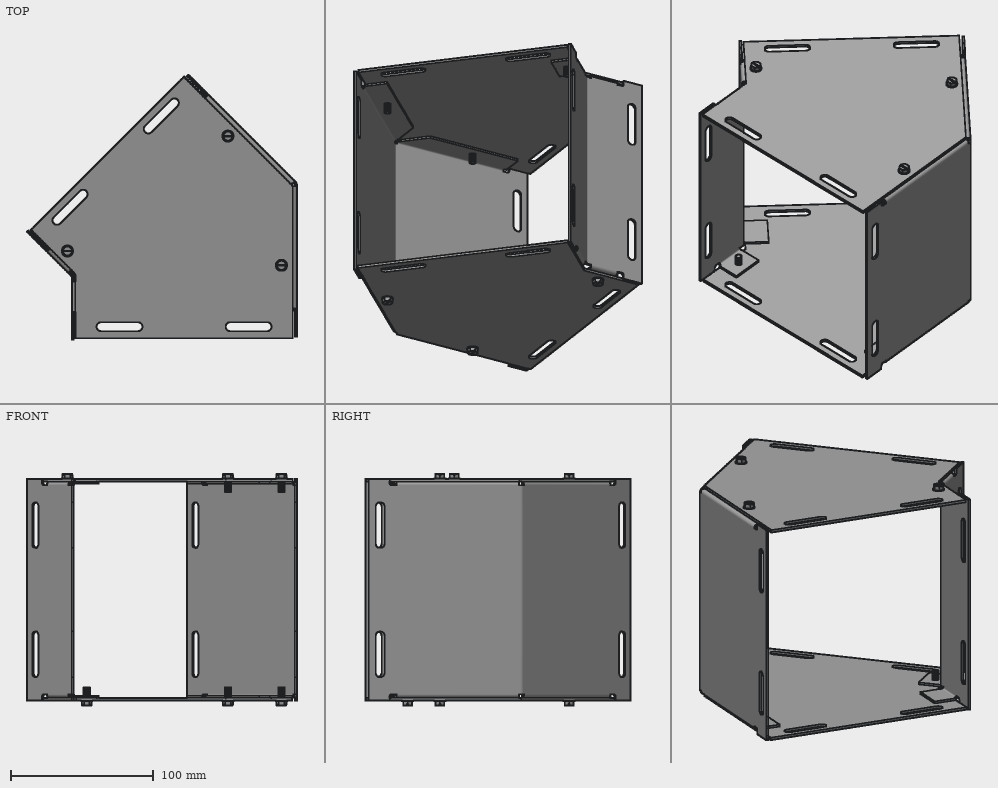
import cadquery as cq
import math


overall_height = 162.41
box_height = 155.5
box_width = 157.87
elbow_angle = 45.0
inner_leg_length = 44.38

wall_sheet = 1.52
bend_radius = 1.0
outer_wall_setback = 2.2
flange_width = 19.05
flange_bend_from_end = 19.6
flange_end_overhang = 1.6
inner_flange_from_fold = 3.5
outer_flange_from_fold = 2.0
notch_from_end = 14.7
notch_corner_radius = 1.8

plate_sheet = 1.9
plate_width = 152.4
plate_side_gap = 2.5
plate_end_setback = 1.0
angled_leg_trim = 0.5

slot_length = 32.0
slot_width = 6.2
slot_spacing = 90.5
slot_from_end = 8.2

thread_major = 4.59
thread_minor = 4.34
thread_pitch = 0.79
shank_length = 9.5
tip_chamfer = 0.25
washer_diameter = 7.94
washer_thickness = 0.3
hex_across_flats = 6.35
hex_chamfer_height = 0.3
hex_chamfer_width = 0.5
driver_slot_width = 0.6
driver_slot_depth = 1.0
inner_screw_from_face = 10.5
inner_screw_from_end = 29.6
outer_screw_from_face = 10.9
outer_screw_from_end = 50.0

bend_angle = math.radians(elbow_angle)
bisector_normal = cq.Vector(-math.sin(bend_angle / 2), math.cos(bend_angle / 2), 0)
half_height = box_height / 2
plate_underside = half_height - plate_sheet
outside_bend_radius = bend_radius + wall_sheet
flange_bend_bottom = plate_underside - outside_bend_radius
inner_wall_end = -inner_leg_length
outer_wall_end = inner_wall_end + outer_wall_setback
plate_end = inner_wall_end + plate_end_setback
plate_left = plate_side_gap
plate_right = plate_left + plate_width
plate_middle = (plate_left + plate_right) / 2
head_height = (overall_height - box_height) / 2
hex_across_corners = hex_across_flats / math.cos(math.pi / 6)


def mirror_point(point):
    """Plan point of the straight leg carried over to the angled leg."""
    x, y = point
    return (
        x * math.cos(bend_angle) + y * math.sin(bend_angle),
        x * math.sin(bend_angle) - y * math.cos(bend_angle),
    )


def fold_point(straight_x, angled_x):
    """Where a straight-leg edge at one X meets the mirror image of an edge at another X."""
    return (straight_x, (angled_x - straight_x * math.cos(bend_angle)) / math.sin(bend_angle))


def mirror_leg(shape):
    """Straight-leg shape carried over to the angled leg."""
    return shape.mirror(bisector_normal)


def flip(shape):
    """Top shape turned over about the bisector line, which swaps top with bottom and leg with leg."""
    return mirror_leg(shape).mirror("XY")


def both_legs(shape):
    return [shape, mirror_leg(shape)]


def four_corners(shape):
    """Top shape of the straight leg, repeated on both legs, top and bottom."""
    return both_legs(shape) + both_legs(shape.mirror("XY"))


inner_screw = (inner_screw_from_face, inner_wall_end + inner_screw_from_end)
outer_screw = (box_width - outer_screw_from_face, outer_wall_end + outer_screw_from_end)
top_screw_points = [mirror_point(inner_screw), outer_screw, mirror_point(outer_screw)]

top_screw_holes = (
    cq.Workplane("XY", origin=(0, 0, half_height))
    .pushPoints(top_screw_points)
    .circle(thread_major / 2)
    .extrude(-shank_length)
)
bottom_screw_holes = flip(top_screw_holes)


def folded_sheet(left_x, end_y):
    """Full-height sheet folded at the bisector, with a rounded fold."""
    right_x = left_x + wall_sheet
    left_fold = fold_point(left_x, left_x)
    right_fold = fold_point(right_x, right_x)
    left_end = (left_x, end_y)
    right_end = (right_x, end_y)
    outline = [
        left_end,
        left_fold,
        mirror_point(left_end),
        mirror_point(right_end),
        right_fold,
        right_end,
    ]
    sheet = (
        cq.Workplane("XY", origin=(0, 0, -half_height))
        .polyline(outline)
        .close()
        .extrude(box_height)
    )
    for fold, radius in ((left_fold, bend_radius), (right_fold, outside_bend_radius)):
        fold_edge = cq.selectors.NearestToPointSelector((fold[0], fold[1], 0))
        sheet = sheet.edges("|Z").edges(fold_edge).fillet(radius)
    return sheet


def flange_notch(face_x, end_y, fold_y):
    """Cutter that lowers the wall edge where the cover plate and the flange bend lie."""
    start_y = end_y + notch_from_end
    stop_y = fold_y + wall_sheet
    depth = half_height - flange_bend_bottom
    return (
        cq.Workplane("XY")
        .box(4 * wall_sheet, stop_y - start_y, 2 * depth, centered=(True, False, True))
        .edges("|X and <Y and <Z")
        .fillet(notch_corner_radius)
        .translate((face_x, start_y, half_height))
    )


def flange(face_x, inward, start_y, stop_y, mitred):
    """Flange bent inward under the cover plate; a mitred one is cut at 45 degrees at the fold."""
    center_x = face_x + inward * outside_bend_radius
    edge_x = face_x + inward * flange_width

    def arc_middle(radius):
        offset = radius * math.sqrt(0.5)
        return (center_x - inward * offset, flange_bend_bottom + offset)

    bend = (
        cq.Workplane("XZ", origin=(0, start_y, 0))
        .moveTo(face_x, flange_bend_bottom)
        .threePointArc(arc_middle(outside_bend_radius), (center_x, plate_underside))
        .lineTo(center_x, plate_underside - wall_sheet)
        .threePointArc(arc_middle(bend_radius), (face_x + inward * wall_sheet, flange_bend_bottom))
        .close()
        .extrude(start_y - stop_y)
    )
    mitre = flange_width - outside_bend_radius if mitred else 0
    flat_outline = [
        (center_x, start_y - flange_end_overhang),
        (edge_x, start_y - flange_end_overhang),
        (edge_x, stop_y - mitre),
        (center_x, stop_y),
    ]
    flat = (
        cq.Workplane("XY", origin=(0, 0, plate_underside - wall_sheet))
        .polyline(flat_outline)
        .close()
        .extrude(wall_sheet)
    )
    return bend.union(flat)


def wall_slots(left_x, end_y):
    return (
        cq.Workplane("YZ", origin=(left_x, end_y + slot_from_end, 0))
        .pushPoints([(0, -slot_spacing / 2), (0, slot_spacing / 2)])
        .slot2D(slot_length, slot_width, 90)
        .extrude(wall_sheet)
    )


def side_wall(face_x, inward, end_y, flange_from_fold, mitred):
    """Wall whose outside face is at face_x; inward is the X direction into the box."""
    left_x = min(face_x, face_x + inward * wall_sheet)
    fold_y = fold_point(face_x, face_x)[1]
    wall = folded_sheet(left_x, end_y)
    for notch in four_corners(flange_notch(face_x, end_y, fold_y)):
        wall = wall.cut(notch)
    top_flange = flange(
        face_x, inward, end_y + flange_bend_from_end, fold_y - flange_from_fold, mitred
    )
    for corner_flange in four_corners(top_flange):
        wall = wall.union(corner_flange)
    for slots in both_legs(wall_slots(left_x, end_y)):
        wall = wall.cut(slots)
    return wall.cut(top_screw_holes).cut(bottom_screw_holes)


inner_wall = side_wall(0, 1, inner_wall_end, inner_flange_from_fold, mitred=False)
outer_wall = side_wall(box_width, -1, outer_wall_end, outer_flange_from_fold, mitred=True)


def cover_plate():
    """Top plate, slightly narrower on the angled leg than on the straight leg."""
    angled_left = plate_left + angled_leg_trim
    angled_right = plate_right - angled_leg_trim
    outline = [
        (plate_left, plate_end),
        fold_point(plate_left, angled_left),
        mirror_point((angled_left, plate_end)),
        mirror_point((angled_right, plate_end)),
        fold_point(plate_right, angled_right),
        (plate_right, plate_end),
    ]
    plate = (
        cq.Workplane("XY", origin=(0, 0, plate_underside))
        .polyline(outline)
        .close()
        .extrude(plate_sheet)
    )
    end_slots = (
        cq.Workplane("XY", origin=(plate_middle, plate_end + slot_from_end, plate_underside))
        .pushPoints([(-slot_spacing / 2, 0), (slot_spacing / 2, 0)])
        .slot2D(slot_length, slot_width)
        .extrude(plate_sheet)
    )
    for slots in both_legs(end_slots):
        plate = plate.cut(slots)
    return plate.cut(top_screw_holes)


top_plate = cover_plate()
bottom_plate = flip(top_plate)


def screw_shank():
    """Shank below Z = 0, its thread modelled as plain rings one pitch apart."""
    shank = (
        cq.Workplane("XY")
        .circle(thread_minor / 2)
        .extrude(-shank_length)
        .faces("<Z")
        .chamfer(tip_chamfer)
    )
    ring = cq.Workplane("XY").circle(thread_major / 2).extrude(-thread_pitch / 2)
    for turn in range(int(shank_length / thread_pitch)):
        shank = shank.union(ring.translate((0, 0, -turn * thread_pitch)))
    return shank


def screw_head():
    """Slotted hexagon with a thin washer face, standing on Z = 0, corners along X."""
    washer = cq.Workplane("XY").circle(washer_diameter / 2).extrude(washer_thickness)
    corner_rounding = (
        cq.Workplane("XY")
        .circle(hex_across_corners / 2)
        .extrude(head_height)
        .faces(">Z")
        .chamfer(hex_chamfer_height, hex_chamfer_width)
    )
    hexagon = (
        cq.Workplane("XY")
        .polygon(6, hex_across_corners)
        .extrude(head_height)
        .intersect(corner_rounding)
    )
    driver_slot = cq.Workplane("XY", origin=(0, 0, head_height)).box(
        hex_across_corners, driver_slot_width, 2 * driver_slot_depth
    )
    return washer.union(hexagon).cut(driver_slot)


screw = screw_head().union(screw_shank())
screws = []
for x, y in top_screw_points:
    screws.append(screw.translate((x, y, half_height)))
    bottom_x, bottom_y = mirror_point((x, y))
    screws.append(screw.mirror("XY").translate((bottom_x, bottom_y, -half_height)))


bodies = [inner_wall, outer_wall, top_plate, bottom_plate, *screws]
result = cq.Compound.makeCompound([body.solids().val() for body in bodies])